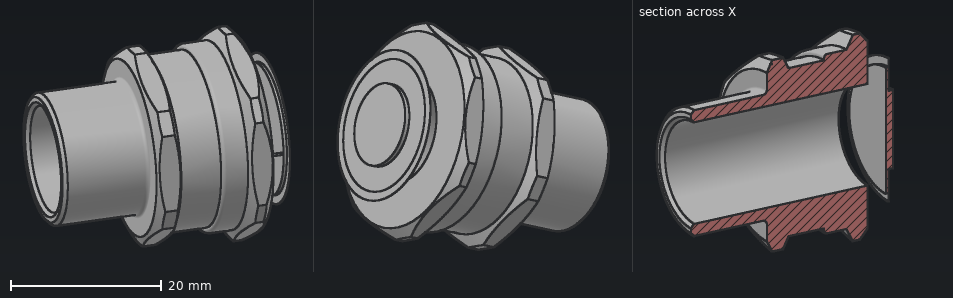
import cadquery as cq
import math

TUBE_DIAMETER = 18.0
BORE_DIAMETER = 14.4
MOUTH_CHAMFER = 0.55
NECK_FILLET = 0.55
BARREL_DIAMETER = 24.0
COLLAR_DIAMETER = 25.6
COLLAR_EDGE = 0.5

SMALL_NUT_START = 12.0
SMALL_NUT_END = 15.5
SMALL_NUT_CORNER = 13.63
SMALL_NUT_CHAMFER = 0.85
COLLAR_START = 21.05
LARGE_NUT_START = 24.58
LARGE_NUT_END = 27.97
LARGE_NUT_CORNER = 14.7
LARGE_NUT_FRONT_CHAMFER = 1.02
LARGE_NUT_BACK_CHAMFER = 1.2
LARGE_NUT_BACK_RADIUS = 13.35

NUT_SIDES = 6
FIRST_CORNER_ANGLE = 90.0
SMALL_NUT_CORNER_ANGLE = 14.4
LARGE_NUT_CORNER_ANGLE = 13.4

CAP_START = 30.8
CAP_BRIM_START = 31.25
CAP_END = 32.0
CAP_BRIM_DIAMETER = 20.4
CAP_BRIM_THICKNESS = 0.03
CAP_TOP_DIAMETER = 11.2
POST_DIAMETER = 0.32
POST_RADIUS = (BORE_DIAMETER + TUBE_DIAMETER) / 4
POST_OVERLAP = 0.15


def revolve_profile(points):
    """Turn a closed outline of (radius, position) points about the Y axis."""
    return cq.Workplane("XY").polyline(points).close().revolve(360, (0, 0, 0), (0, 1, 0))


def cylinder(diameter, start, end, x=0.0):
    """Round bar along Y between two positions."""
    plane = cq.Workplane("XZ", origin=(x, start, 0))
    return plane.circle(diameter / 2).extrude(start - end)


def nut(start, end, corner, corner_angle, front_radius, front_chamfer, back_radius, back_chamfer):
    """Hexagon with blunted corners, coned on its front and back faces."""
    points = []
    for side in range(NUT_SIDES):
        base = FIRST_CORNER_ANGLE + side * 360 / NUT_SIDES
        for offset in (0, corner_angle):
            angle = math.radians(base + offset)
            points.append((corner * math.cos(angle), corner * math.sin(angle)))
    prism = cq.Workplane("XZ", origin=(0, start, 0)).polyline(points).close().extrude(start - end)
    cones = revolve_profile([
        (0, start),
        (front_radius, start),
        (corner, start + front_chamfer),
        (corner, end - back_chamfer),
        (back_radius, end),
        (0, end),
    ])
    return prism.intersect(cones)


tube_radius = TUBE_DIAMETER / 2
fillet_start = SMALL_NUT_START - NECK_FILLET
fillet_inset = NECK_FILLET * math.sqrt(0.5)
neck_radius = tube_radius + NECK_FILLET
tube = (
    cq.Workplane("XY")
    .lineTo(tube_radius - MOUTH_CHAMFER, 0)
    .lineTo(tube_radius, MOUTH_CHAMFER)
    .lineTo(tube_radius, fillet_start)
    .threePointArc(
        (neck_radius - fillet_inset, fillet_start + fillet_inset),
        (neck_radius, SMALL_NUT_START),
    )
    .lineTo(neck_radius, SMALL_NUT_END)
    .lineTo(0, SMALL_NUT_END)
    .close()
    .revolve(360, (0, 0, 0), (0, 1, 0))
)
barrel = cylinder(BARREL_DIAMETER, SMALL_NUT_END, LARGE_NUT_END)
collar = cylinder(COLLAR_DIAMETER, COLLAR_START, LARGE_NUT_START).faces("<Y").edges().fillet(COLLAR_EDGE)

small_nut = nut(
    SMALL_NUT_START, SMALL_NUT_END, SMALL_NUT_CORNER, SMALL_NUT_CORNER_ANGLE,
    BARREL_DIAMETER / 2, SMALL_NUT_CHAMFER,
    BARREL_DIAMETER / 2, SMALL_NUT_CHAMFER,
)
large_nut = nut(
    LARGE_NUT_START, LARGE_NUT_END, LARGE_NUT_CORNER, LARGE_NUT_CORNER_ANGLE,
    COLLAR_DIAMETER / 2, LARGE_NUT_FRONT_CHAMFER,
    LARGE_NUT_BACK_RADIUS, LARGE_NUT_BACK_CHAMFER,
)

bore = revolve_profile([
    (0, 0),
    (BORE_DIAMETER / 2 + MOUTH_CHAMFER, 0),
    (BORE_DIAMETER / 2, MOUTH_CHAMFER),
    (BORE_DIAMETER / 2, LARGE_NUT_END),
    (0, LARGE_NUT_END),
])
body = tube.union(barrel).union(collar).union(small_nut).union(large_nut).cut(bore)

cap = cylinder(TUBE_DIAMETER, CAP_START, CAP_BRIM_START)
brim_end = CAP_BRIM_START + CAP_BRIM_THICKNESS
cap = cap.union(cylinder(CAP_BRIM_DIAMETER, CAP_BRIM_START, brim_end))
cap = cap.union(cylinder(CAP_TOP_DIAMETER, CAP_BRIM_START, CAP_END))

post = cylinder(POST_DIAMETER, LARGE_NUT_END - POST_OVERLAP, CAP_START + POST_OVERLAP, POST_RADIUS)

result = body.union(cap).union(post)